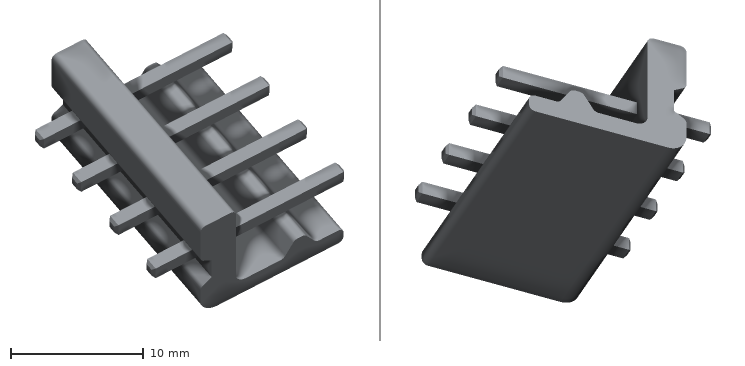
import cadquery as cq
import math

length = 20.32
height = 10.2
depth = 12.98
base_thickness = 1.52
wall_thickness = 3.21
edge_radius = 0.5
heel_radius = 1.52
inner_corner_radius = 0.93

ridge_y = 9.02
ridge_height = 1.55
ridge_foot_width = 2.97
ridge_crest_width = 0.9

pin_count = 4
pitch = length / pin_count
pin_size = 1.14
pin_front_y = -2.99
pin_length = 17.5
pin_chamfer = 0.22
pin_z = 4.71

groove_depth = 1.02
groove_floor_width = 2.03
groove_flank_angle = math.radians(30)
groove_mouth_width = groove_floor_width + 2 * groove_depth * math.tan(groove_flank_angle)


def make_housing():
    """Extrude the side profile along X and round its long edges."""
    ridge_top = base_thickness + ridge_height
    corners = [
        (0, 0, heel_radius),
        (0, pin_z - groove_mouth_width / 2, edge_radius),
        (groove_depth, pin_z - groove_floor_width / 2, 0),
        (groove_depth, pin_z + groove_floor_width / 2, 0),
        (0, pin_z + groove_mouth_width / 2, edge_radius),
        (0, height, edge_radius),
        (wall_thickness, height, edge_radius),
        (wall_thickness, base_thickness, inner_corner_radius),
        (ridge_y - ridge_foot_width / 2, base_thickness, edge_radius),
        (ridge_y - ridge_crest_width / 2, ridge_top, edge_radius),
        (ridge_y + ridge_crest_width / 2, ridge_top, edge_radius),
        (ridge_y + ridge_foot_width / 2, base_thickness, edge_radius),
        (depth, base_thickness, edge_radius),
        (depth, 0, edge_radius),
    ]
    profile = [(y, z) for y, z, _ in corners]
    housing = cq.Workplane("YZ").polyline(profile).close().extrude(length / 2, both=True)
    for y, z, radius in corners:
        if radius > 0:
            edge = cq.selectors.NearestToPointSelector((0, y, z))
            housing = housing.edges("|X").edges(edge).fillet(radius)
    return housing


def make_pin(x):
    """Square pin along Y with both ends chamfered."""
    pin = cq.Workplane("XY").box(pin_size, pin_length, pin_size)
    pin = pin.faces("<Y or >Y").chamfer(pin_chamfer)
    return pin.translate((x, pin_front_y + pin_length / 2, pin_z))


result = make_housing()
for index in range(pin_count):
    result = result.union(make_pin((index - (pin_count - 1) / 2) * pitch))